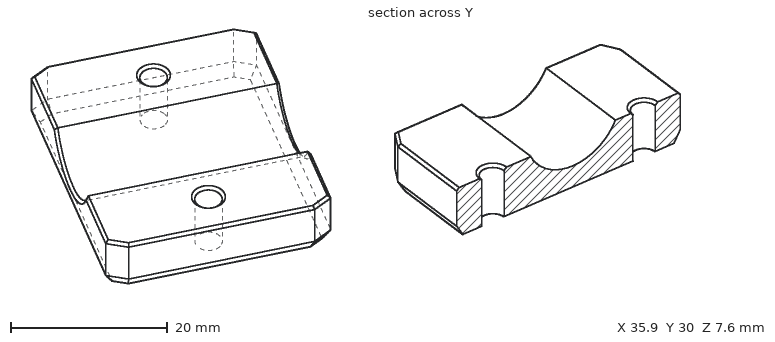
import cadquery as cq
import math

length = 35.85
width = 30.0
height = 7.6
edge_chamfer = 0.4

bevel_ratio = math.tan(math.radians(60))
corner_x = 1.5
corner_y = corner_x * bevel_ratio
bottom_inset = 1.0
bottom_rise = bottom_inset * bevel_ratio
bevel_taper = math.degrees(math.atan2(bottom_inset, bottom_rise))

groove_radius = 7.5
groove_depth = 4.25
groove_x = 0.725
groove_axis_z = height - groove_depth + groove_radius

hole_diameter = 3.5
hole_spacing = 24.2


def make_outline(z):
    """Rectangle with its four corners cut off, on a plane at height z."""
    half_x = length / 2
    half_y = width / 2
    flat_x = half_x - corner_x
    flat_y = half_y - corner_y
    points = [
        (half_x, flat_y),
        (flat_x, half_y),
        (-flat_x, half_y),
        (-half_x, flat_y),
        (-half_x, -flat_y),
        (-flat_x, -half_y),
        (flat_x, -half_y),
        (half_x, -flat_y),
    ]
    return cq.Workplane("XY", origin=(0, 0, z)).polyline(points).close()


def make_block():
    """Straight upper body on a base that tapers inward toward the bottom face."""
    body = make_outline(bottom_rise).extrude(height - bottom_rise)
    base = make_outline(bottom_rise).extrude(-bottom_rise, taper=bevel_taper)
    return body.union(base)


def cut_groove(block):
    """Round groove running through the full width in Y."""
    groove = (
        cq.Workplane("XZ")
        .center(groove_x, groove_axis_z)
        .circle(groove_radius)
        .extrude(width, both=True)
    )
    return block.cut(groove)


def chamfer_top(block):
    """Chamfer the outer top edges and the groove ends, leaving the groove's long edges sharp."""
    groove_ends = block.edges("%CIRCLE")
    groove_sides = block.faces("%CYLINDER").edges("|Y")
    outer_edges = block.faces(">Z").edges().vals()
    sharp_edges = groove_sides.vals()
    edges = [edge for edge in outer_edges if not any(edge.isSame(sharp) for sharp in sharp_edges)]
    return block.newObject(edges + groove_ends.vals()).chamfer(edge_chamfer)


def cut_holes(block):
    """Through holes on both sides of the groove, chamfered at the top."""
    for x in (-hole_spacing / 2, hole_spacing / 2):
        block = block.faces(">Z").workplane(origin=(x, 0, height)).hole(hole_diameter)
    return block.faces(">Z").edges("%CIRCLE").chamfer(edge_chamfer)


result = cut_holes(chamfer_top(cut_groove(make_block())))